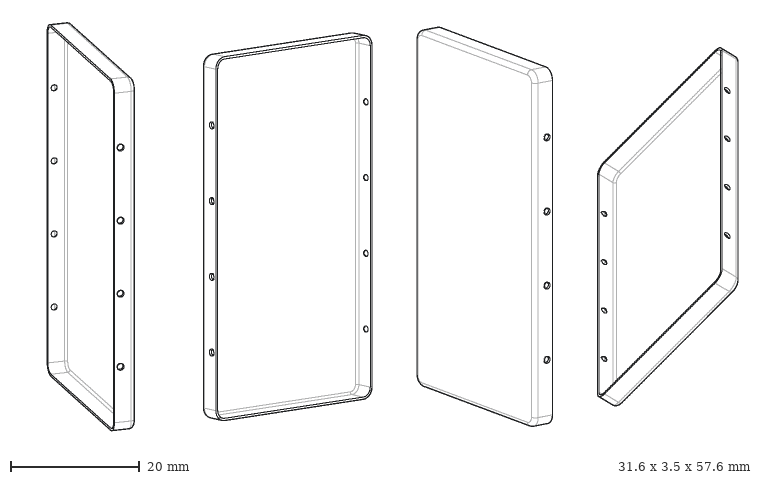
import cadquery as cq

width = 31.6
depth = 3.5
height = 57.6
wall = 0.375
corner_radius = 1.8
floor_edge_radius = 0.75

dimple_count = 4
dimple_pitch = 12.0
dimple_radius = 0.55
dimple_from_rim = 1.05
bump_center_depth = 0.145


def rounded_block(inset):
    """Rounded tray volume, moved inward by inset on the sides and the floor."""
    block = cq.Workplane("XY").box(width - 2 * inset, depth - inset, height - 2 * inset)
    block = block.translate((0, -inset / 2, 0))
    block = block.edges("|Y").fillet(corner_radius - inset)
    return block.faces(">Y").edges().fillet(floor_edge_radius - inset)


def dimple_sphere(x, z):
    """Sphere with its center at the dimple height above the open rim."""
    y = -depth / 2 + dimple_from_rim
    return cq.Workplane("XY").sphere(dimple_radius).translate((x, y, z))


result = rounded_block(0).cut(rounded_block(wall))

for side in (-1, 1):
    outer_x = side * width / 2
    bump_x = side * (width / 2 - bump_center_depth)
    for index in range(dimple_count):
        z = (index - (dimple_count - 1) / 2) * dimple_pitch
        bump = dimple_sphere(bump_x, z)
        result = result.union(bump, clean=False)
        result = result.cut(dimple_sphere(outer_x, z), clean=False)